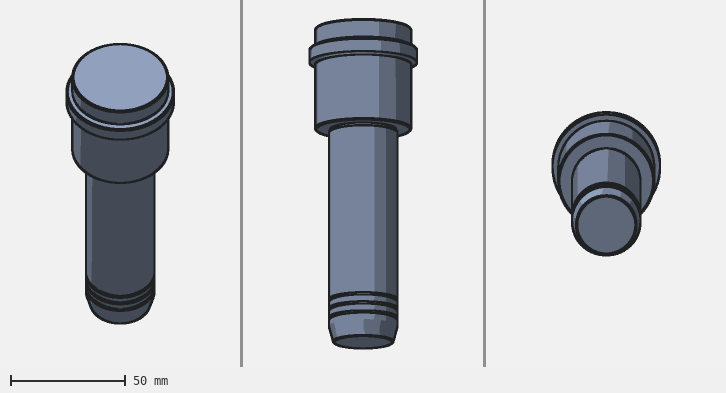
import cadquery as cq
import math

total_length = 140.0
head_length = 45.0
shoulder_z = total_length - head_length

head_radius = 21.0
flange_radius = 23.5
shank_radius = 15.0

flange_top_z = total_length - 9.0
flange_thickness = 6.0
flange_bottom_z = flange_top_z - flange_thickness
undercut_width = 1.0
undercut_depth = 0.5

groove_floor_fillet = 0.3

head_chamfer = 0.5
flange_chamfer = 0.5
tip_chamfer = 0.4

neck_length = 1.3
neck_depth = 0.5

tip_length = 7.0
tip_angle = 15.0
tip_radius = shank_radius - tip_length * math.tan(math.radians(tip_angle))

groove_count = 3
first_groove_z = 10.1
groove_pitch = 4.0
groove_width = 1.0
groove_depth = 0.5


def cylinder(radius, bottom_z, top_z):
    return cq.Workplane("XY").workplane(offset=bottom_z).circle(radius).extrude(top_z - bottom_z)


def cut_ring(body, radius, depth, bottom_z, width):
    """Turn a groove with a rounded floor into a cylinder of the given radius."""
    top_z = bottom_z + width
    floor = cylinder(radius - depth, bottom_z, top_z)
    ring = cylinder(radius, bottom_z, top_z).cut(floor)
    ring = ring.edges(cq.selectors.RadiusNthSelector(0)).fillet(groove_floor_fillet)
    return body.cut(ring)


def make_head():
    head = cylinder(head_radius, shoulder_z, total_length)
    head = head.edges().chamfer(head_chamfer)
    for bottom_z in (flange_top_z, flange_bottom_z - undercut_width):
        head = cut_ring(head, head_radius, undercut_depth, bottom_z, undercut_width)
    flange = cylinder(flange_radius, flange_bottom_z, flange_top_z)
    return head.union(flange.faces(">Z").edges().chamfer(flange_chamfer))


def make_shank():
    neck_bottom_z = shoulder_z - neck_length
    shank = cylinder(shank_radius, tip_length, neck_bottom_z)
    shank = shank.union(cylinder(shank_radius - neck_depth, neck_bottom_z, shoulder_z))
    for index in range(groove_count):
        groove_z = first_groove_z + index * groove_pitch
        shank = cut_ring(shank, shank_radius, groove_depth, groove_z, groove_width)
    return shank


def make_tip():
    tip = cq.Workplane("XY").circle(tip_radius).workplane(offset=tip_length).circle(shank_radius).loft()
    return tip.faces("<Z").edges().chamfer(tip_chamfer)


result = make_head().union(make_shank()).union(make_tip())